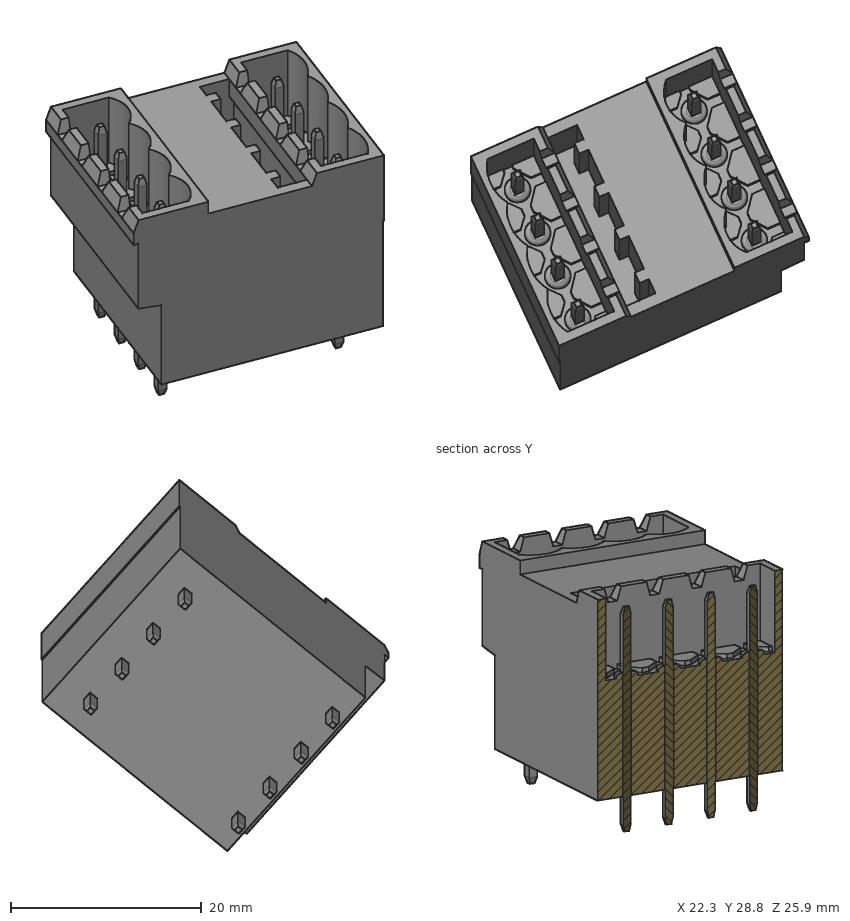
import cadquery as cq
import math


pin_count = 4
row_spacing = 20.33
pin_pitch = row_spacing / pin_count
pin_xs = [(i - (pin_count - 1) / 2) * pin_pitch for i in range(pin_count)]
row_ys = [0, row_spacing]

pin_width = 1.0
tip_width = 0.58
tip_length = 0.8
pin_top = 20.75
pin_bottom = -3.85

housing_width = 22.32
rim_z = 22.03
deck_z = 20.5
lip_height = 1.53
lip_bottom = deck_z - lip_height
front_y = -4.7
overall_length = 28.8
back_y = front_y + overall_length
lip_overhang = 0.55
front_wall_y = front_y + lip_overhang
bevel_run = 0.58
foot_front_y = -1.5
overhang_corner_z = 10.25
overhang_edge_z = 10.6
deck_front_y = 3.92
deck_back_y = 15.8
back_relief = 0.12
back_relief_z = 13.6

socket_width = pin_count * pin_pitch
socket_floor = back_relief_z
front_socket = {"wall": -3.23, "cusp": 2.07, "crown": 3.15}
rear_socket = {"wall": row_spacing - 3.02, "cusp": row_spacing + 2.33, "crown": row_spacing + 3.08}

keyway_bottom_width = 1.07
keyway_top_width = 2.02
keyway_length = 1.73

track_depth = 0.52
track_half_strip = 0.52
track_neck_width = 2.02
track_shoulder_x = 2.15
track_back_y = 1.5
track_front_y = -1.8

collar_diameter = 2.75
collar_top_diameter = 1.7
collar_round = (collar_diameter - collar_top_diameter) / 2
collar_base = socket_floor - track_depth

slot_width = 19.8
slot_front_y = 12.45
slot_floor = overhang_edge_z
tooth_width = 1.25
tooth_depth = 1.07
rear_lip_height = 2.25
rear_lip_bottom = deck_z - rear_lip_height
undercut_depth = lip_overhang


def box(x0, x1, y0, y1, z0, z1):
    """Axis-aligned block between two opposite corners."""
    return cq.Workplane("XY").box(x1 - x0, y1 - y0, z1 - z0, centered=False).translate((x0, y0, z0))


def housing_block():
    """Side outline of the housing, extruded across its full width."""
    return (
        cq.Workplane("YZ", origin=(-housing_width / 2, 0, 0))
        .moveTo(foot_front_y, 0)
        .lineTo(foot_front_y, overhang_corner_z)
        .lineTo(front_wall_y, overhang_edge_z)
        .lineTo(front_wall_y, lip_bottom)
        .lineTo(front_y, lip_bottom)
        .lineTo(front_y, deck_z)
        .lineTo(front_y + bevel_run, rim_z)
        .lineTo(deck_front_y, rim_z)
        .lineTo(deck_front_y, deck_z)
        .lineTo(deck_back_y, deck_z)
        .lineTo(deck_back_y + bevel_run, rim_z)
        .lineTo(back_y, rim_z)
        .lineTo(back_y, back_relief_z)
        .lineTo(back_y - back_relief, back_relief_z)
        .lineTo(back_y - back_relief, 0)
        .close()
        .extrude(housing_width)
    )


def socket_cavity(socket):
    """Plug cavity with a straight front wall and one arched bay behind each pin."""
    outline = (
        cq.Workplane("XY", origin=(0, 0, socket_floor))
        .moveTo(socket_width / 2, socket["wall"])
        .lineTo(-socket_width / 2, socket["wall"])
        .lineTo(-socket_width / 2, socket["cusp"])
    )
    for x in pin_xs:
        outline = outline.threePointArc((x, socket["crown"]), (x + pin_pitch / 2, socket["cusp"]))
    return outline.close().extrude(rim_z - socket_floor)


def keyway(x, socket):
    """Trapezoidal notch in the front wall of a socket, narrowing down to the deck level."""
    return (
        cq.Workplane("XZ", origin=(x, socket["wall"], 0))
        .moveTo(-keyway_bottom_width / 2, deck_z)
        .lineTo(keyway_bottom_width / 2, deck_z)
        .lineTo(keyway_top_width / 2, rim_z)
        .lineTo(-keyway_top_width / 2, rim_z)
        .close()
        .extrude(keyway_length)
    )


def floor_track(x, row_y, socket):
    """Recess in the socket floor: a hexagon around one pin with a neck to each long wall."""
    half_pitch = pin_pitch / 2
    half_neck = track_neck_width / 2
    half_stem = keyway_bottom_width / 2
    outline = [
        (half_pitch, -track_half_strip),
        (half_pitch, track_half_strip),
        (track_shoulder_x, track_half_strip),
        (half_neck, track_back_y),
        (half_neck, socket["crown"] - row_y),
        (-half_neck, socket["crown"] - row_y),
        (-half_neck, track_back_y),
        (-track_shoulder_x, track_half_strip),
        (-half_pitch, track_half_strip),
        (-half_pitch, -track_half_strip),
        (-track_shoulder_x, -track_half_strip),
        (-half_stem, track_front_y),
        (-half_stem, socket["wall"] - row_y),
        (half_stem, socket["wall"] - row_y),
        (half_stem, track_front_y),
        (track_shoulder_x, -track_half_strip),
    ]
    track = (
        cq.Workplane("XY", origin=(x, row_y, collar_base))
        .polyline(outline)
        .close()
        .extrude(track_depth)
    )
    return track.intersect(socket_cavity(socket).translate((0, 0, -track_depth)))


def collar(x, y):
    """Round collar whose outer edge is rounded from the floor to its flat top."""
    outer = collar_diameter / 2
    inner = collar_top_diameter / 2
    diagonal = collar_round * math.sqrt(0.5)
    return (
        cq.Workplane("XZ")
        .lineTo(outer, 0)
        .threePointArc((inner + diagonal, diagonal), (inner, collar_round))
        .lineTo(0, collar_round)
        .close()
        .revolve(360, (0, 0), (0, 1))
        .translate((x, y, collar_base))
    )


def latch_slot():
    """Slot in the deck with teeth on its front edge, undercut below the lip of the rear socket."""
    half = slot_width / 2
    slot = box(-half, half, slot_front_y, deck_back_y, slot_floor, deck_z)
    undercut = box(-half, half, deck_back_y, deck_back_y + undercut_depth, slot_floor, rear_lip_bottom)
    slot = slot.union(undercut)
    tooth_tip_y = slot_front_y + tooth_depth
    for x in pin_xs:
        tooth_left = x - tooth_width / 2
        tooth_right = x + tooth_width / 2
        slot = slot.cut(box(tooth_left, tooth_right, slot_front_y, tooth_tip_y, slot_floor, deck_z))
    return slot


def make_pin(x, y):
    """Square pin with a tapered tip at both ends."""
    shank_bottom = pin_bottom + tip_length
    shank_top = pin_top - tip_length
    pin = (
        cq.Workplane("XY", origin=(0, 0, shank_bottom))
        .rect(pin_width, pin_width).extrude(shank_top - shank_bottom)
        .faces(">Z").workplane().rect(pin_width, pin_width)
        .workplane(offset=tip_length).rect(tip_width, tip_width).loft()
        .faces("<Z").workplane().rect(pin_width, pin_width)
        .workplane(offset=tip_length).rect(tip_width, tip_width).loft()
    )
    return pin.translate((x, y, 0))


def make_housing(pins):
    """Housing with its sockets, keyways, floor tracks, collars, latch slot and pin holes."""
    body = housing_block().cut(latch_slot())
    for row_y, socket in zip(row_ys, (front_socket, rear_socket)):
        body = body.cut(socket_cavity(socket))
        for x in pin_xs:
            body = body.cut(keyway(x, socket)).cut(floor_track(x, row_y, socket))
        for x in pin_xs:
            body = body.union(collar(x, row_y))
    for pin in pins:
        body = body.cut(pin)
    return body


pins = [make_pin(x, y) for y in row_ys for x in pin_xs]
housing = make_housing(pins)

result = cq.Compound.makeCompound([housing.val(), *[pin.val() for pin in pins]])